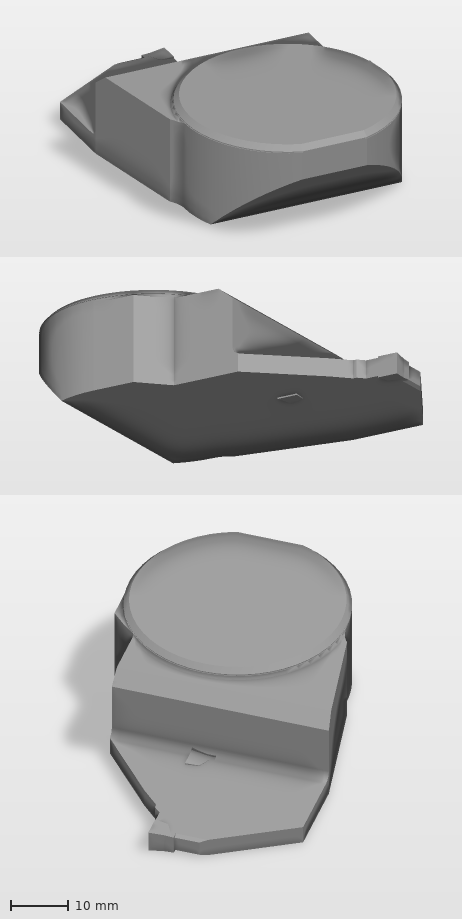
import cadquery as cq
import math


disc_radius = 20.005
flat_x = 19.0
disc_top = 18.05
disc_chamfer = 1.0
shoulder_z = 16.25
root_fillet = 0.55
groove_bottom = 16.65
groove_height = 0.35
groove_depth = 0.15
wall_x = -25.4
back_y = 14.85
front_y = -25.1
corner_x = -8.2
blend_start_x = -3.4
blend_start_y = -21.2
top_chamfer_length = 2.9
top_chamfer_drop = 2.2
under_chamfer = 11.55
cut_clearance = 6.9

blade_thickness = 3.4
blade_fillet = 1.5
blade_front_x = -39.9
nose_x = -49.3
nose_end_y = -9.05
nose_bevel_length = 0.75
nose_bevel_height = 0.35
back_break = (-38.7, 4.5)
back_tip_x = -41.9
back_corner_x = -26.5

insert_middle_x = -37.83
insert_half_length = 12.265
insert_base_half_length = 11.9
insert_bottom_y = -4.5
insert_end_break_y = -2.8
insert_shoulder_y = 0.1
insert_top_y = 1.3
hump_base_half_length = 5.95
hump_top_half_length = 4.8

pad_rise = 0.3
pad_inner_length = 3.95
pad_knee_length = 3.6
pad_knee_y = -2.4
pad_low_y = -3.95
pad_low_inset = 0.4


def make_block():
    """Block with a rounded end, blending into the disc radius on its front side."""
    blend_dx = -blend_start_x
    blend_dy = -disc_radius - blend_start_y
    blend_radius = (blend_dx**2 + blend_dy**2) / (2 * blend_dy)
    half_angle = math.asin(blend_dx / blend_radius) / 2
    blend_middle = (
        -blend_radius * math.sin(half_angle),
        -disc_radius - blend_radius * (1 - math.cos(half_angle)),
    )
    slope_start_x = corner_x - (disc_radius - back_y)
    return (
        cq.Workplane("XY")
        .moveTo(wall_x, front_y)
        .lineTo(blend_start_x, blend_start_y)
        .threePointArc(blend_middle, (0, -disc_radius))
        .threePointArc((disc_radius, 0), (0, disc_radius))
        .lineTo(corner_x, disc_radius)
        .lineTo(slope_start_x, back_y)
        .lineTo(wall_x, back_y)
        .close()
        .extrude(shoulder_z)
    )


def make_top_chamfer_cut():
    """Wedge that slopes the upper edge of the block above the blade."""
    return (
        cq.Workplane("XZ", origin=(0, back_y, 0))
        .moveTo(wall_x, shoulder_z - top_chamfer_drop)
        .lineTo(wall_x + top_chamfer_length, shoulder_z)
        .lineTo(wall_x, shoulder_z)
        .close()
        .extrude(back_y - front_y)
    )


def make_disc():
    """Chamfered disc, with a flat side, a fine groove and a fillet onto the block."""
    disc = (
        cq.Workplane("XY")
        .circle(disc_radius)
        .extrude(disc_top)
        .intersect(make_flat_limit())
        .faces(">Z")
        .chamfer(disc_chamfer)
    )
    groove = (
        cq.Workplane("XY", origin=(0, 0, groove_bottom))
        .circle(disc_radius + cut_clearance)
        .circle(disc_radius - groove_depth)
        .extrude(groove_height)
    )
    return disc.cut(groove)


def make_flat_limit():
    """Space on the inner side of the flat, used to trim round shapes."""
    size = 2 * (disc_radius + cut_clearance)
    return cq.Workplane("XY").box(size, size, size).translate((flat_x - size / 2, 0, 0))


def make_root_fillet(block):
    """Concave ring between the shoulder and the disc, kept above the block only."""
    arc_offset = root_fillet * (1 - math.sqrt(0.5))
    ring = (
        cq.Workplane("XZ")
        .moveTo(disc_radius - groove_depth, shoulder_z)
        .lineTo(disc_radius + root_fillet, shoulder_z)
        .threePointArc(
            (disc_radius + arc_offset, shoulder_z + arc_offset),
            (disc_radius, shoulder_z + root_fillet),
        )
        .lineTo(disc_radius - groove_depth, shoulder_z + root_fillet)
        .close()
        .revolve(360, (0, 0, 0), (0, 1, 0))
    )
    return ring.intersect(block.translate((0, 0, root_fillet)))


def make_under_chamfer_cut():
    """Large sloped cut below the flat."""
    return (
        cq.Workplane("XZ", origin=(0, disc_radius, 0))
        .moveTo(flat_x - under_chamfer, 0)
        .lineTo(flat_x, under_chamfer)
        .lineTo(flat_x, 0)
        .close()
        .extrude(2 * disc_radius)
    )


def make_blade():
    """Thin blade with a bevelled nose and a fillet at the block wall."""
    blade = (
        cq.Workplane("XY")
        .moveTo(wall_x, front_y)
        .lineTo(blade_front_x, front_y)
        .lineTo(nose_x, nose_end_y)
        .lineTo(nose_x, insert_bottom_y)
        .lineTo(back_tip_x, insert_bottom_y)
        .lineTo(back_tip_x, insert_top_y)
        .lineTo(*back_break)
        .lineTo(back_corner_x, back_y)
        .lineTo(wall_x, back_y)
        .close()
        .extrude(blade_thickness)
    )
    for face_z, inward in ((0, 1), (blade_thickness, -1)):
        bevel = (
            cq.Workplane("XZ", origin=(0, insert_bottom_y, 0))
            .moveTo(nose_x, face_z)
            .lineTo(nose_x + nose_bevel_length, face_z)
            .lineTo(nose_x, face_z + inward * nose_bevel_height)
            .close()
            .extrude(insert_bottom_y - front_y)
        )
        blade = blade.cut(bevel)
    fillet = (
        cq.Workplane("XZ", origin=(0, back_y, 0))
        .moveTo(wall_x, blade_thickness)
        .lineTo(wall_x, blade_thickness + blade_fillet)
        .radiusArc((wall_x - blade_fillet, blade_thickness), blade_fillet)
        .close()
        .extrude(back_y - front_y)
    )
    back_trim = (
        cq.Workplane("XY", origin=(0, 0, blade_thickness))
        .moveTo(*back_break)
        .lineTo(back_corner_x, back_y)
        .lineTo(back_break[0], back_y)
        .close()
        .extrude(blade_fillet)
    )
    return blade.union(fillet.cut(back_trim))


def make_insert_prism(height):
    """Insert outline, also used to open its pocket."""
    half_outline = [
        (insert_base_half_length, insert_bottom_y),
        (insert_base_half_length, insert_end_break_y),
        (insert_half_length, insert_shoulder_y),
        (hump_base_half_length, insert_shoulder_y),
        (hump_top_half_length, insert_top_y),
    ]
    mirrored = [(-x, y) for x, y in reversed(half_outline)]
    outline = cq.Workplane("XY", origin=(insert_middle_x, 0, 0)).polyline(half_outline + mirrored)
    return outline.close().extrude(height)


def make_pad(side):
    """Double-sided pad on one insert end, highest at the shoulder edge."""
    corners = [
        (insert_half_length, insert_shoulder_y),
        (insert_half_length - pad_inner_length, insert_shoulder_y),
        (insert_half_length - pad_knee_length, pad_knee_y),
        (insert_base_half_length - pad_low_inset, pad_low_y),
        (insert_base_half_length, pad_low_y),
        (insert_base_half_length, insert_end_break_y),
    ]
    footprint = (
        cq.Workplane("XY", origin=(insert_middle_x, 0, -pad_rise))
        .polyline([(side * x, y) for x, y in corners])
        .close()
        .extrude(blade_thickness + 2 * pad_rise)
    )
    taper = (
        cq.Workplane("YZ", origin=(insert_middle_x - insert_half_length, 0, 0))
        .moveTo(pad_low_y, 0)
        .lineTo(insert_shoulder_y, -pad_rise)
        .lineTo(insert_shoulder_y, blade_thickness + pad_rise)
        .lineTo(pad_low_y, blade_thickness)
        .close()
        .extrude(2 * insert_half_length)
    )
    return footprint.intersect(taper)


def make_insert():
    insert = make_insert_prism(blade_thickness)
    for side in (-1, 1):
        insert = insert.union(make_pad(side))
    return insert


def make_holder():
    block = make_block()
    holder = (
        block.cut(make_top_chamfer_cut())
        .union(make_disc())
        .union(make_root_fillet(block))
        .intersect(make_flat_limit())
        .cut(make_under_chamfer_cut())
    )
    pocket = make_insert_prism(blade_thickness + blade_fillet)
    return holder.union(make_blade().cut(pocket))


holder = make_holder()
insert = make_insert()
result = cq.Compound.makeCompound([holder.val(), insert.val()])